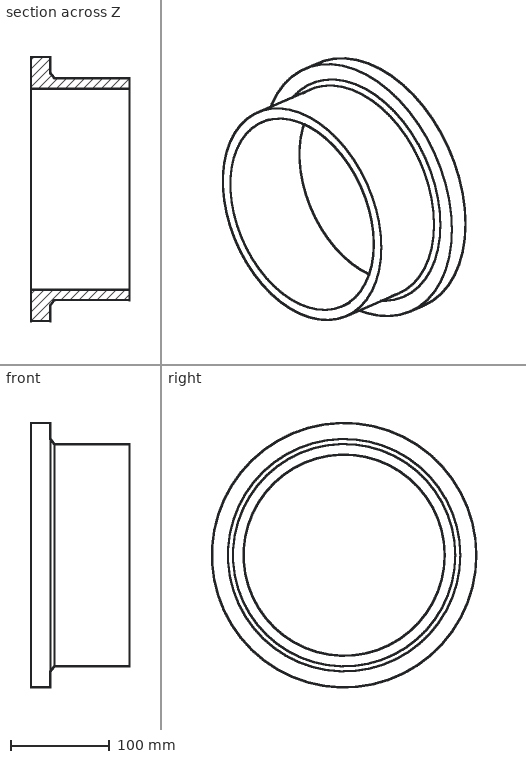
import cadquery as cq

flange_diameter = 268.0
sleeve_diameter = 225.0
bore_diameter = 203.5
total_length = 100.0
flange_thickness = 19.8
cone_length = 4.0
cone_height = 5.0

flange_radius = flange_diameter / 2
sleeve_radius = sleeve_diameter / 2
bore_radius = bore_diameter / 2

half_section = (
    cq.Workplane("XY")
    .moveTo(0, bore_radius)
    .lineTo(0, flange_radius)
    .lineTo(flange_thickness, flange_radius)
    .lineTo(flange_thickness, sleeve_radius + cone_height)
    .lineTo(flange_thickness + cone_length, sleeve_radius)
    .lineTo(total_length, sleeve_radius)
    .lineTo(total_length, bore_radius)
    .close()
)

result = half_section.revolve(360, (0, 0, 0), (1, 0, 0))